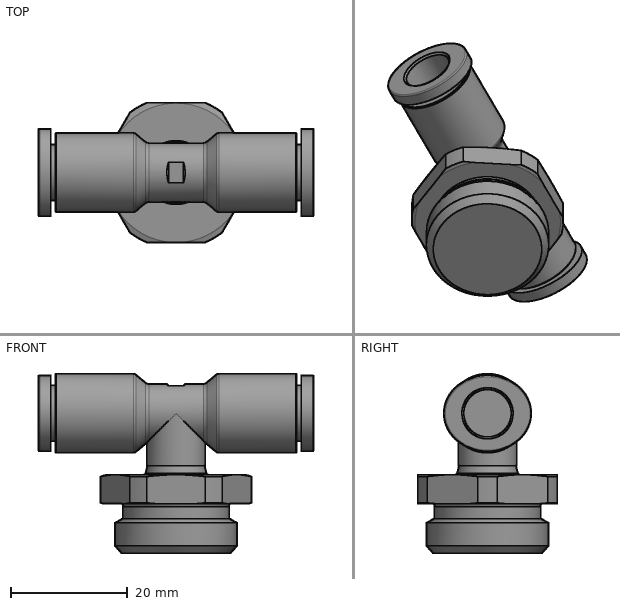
import cadquery as cq
import math


half_length = 23.6
sleeve_radius = 6.8
sleeve_end_x = 20.7
sleeve_end_chamfer = 0.2
core_radius = 5.05
cone_start_x = 5.0
cone_end_x = 7.1
cone_inner_fillet = 1.0
cone_outer_fillet = 0.7

collar_half_width = 7.5
collar_half_height = 6.5
collar_thickness = 2.15
collar_edge_fillet = 0.25
collar_neck_radius = 4.8
bore_radius = 4.05
bore_chamfer = 0.35
bore_bottom_x = cone_end_x

mark_floor_length = 2.55
mark_width = 3.45
mark_floor_z = math.sqrt(core_radius**2 - (mark_width / 2) ** 2)

across_flats = 24.0
nut_corner_radius = 13.0
nut_top_z = -10.53
nut_height = 4.95
nut_bottom_z = nut_top_z - nut_height
top_face_radius = 11.95
top_bevel_drop = 0.35
bottom_face_radius = 12.45
bottom_bevel_drop = 0.15

skirt_top_z = -8.95
skirt_top_radius = 4.9
skirt_bottom_radius = 5.25
skirt_foot_height = 0.25
skirt_foot_radius = 5.48

shoulder_height = 0.5
shoulder_top_radius = 9.25
shoulder_bottom_radius = 9.0

overall_height = 30.8
bottom_z = sleeve_radius - overall_height
thread_radius = 10.5
relief_radius = 9.15
relief_end_z = -18.05
thread_start_z = -18.8
tip_radius = 9.3
tip_height = 1.3


def revolve_about_z(points):
    """Solid of revolution from (radius, z) points."""
    return cq.Workplane("XZ").polyline(points).close().revolve(360, (0, 0), (0, 1))


def revolve_about_x(points):
    """Solid of revolution from (x, radius) points."""
    return cq.Workplane("XZ").polyline(points).close().revolve(360, (0, 0), (1, 0))


def ring_at(x):
    """Selector for the circular edge around the X axis at the given x."""
    margin = 0.05
    reach = sleeve_radius
    return cq.selectors.BoxSelector((x - margin, -reach, -reach), (x + margin, reach, reach))


def make_barrel():
    """Slim core between two sleeves, joined by cones with rounded ends."""
    right_outline = [
        (cone_start_x, core_radius),
        (cone_end_x, sleeve_radius),
        (sleeve_end_x, sleeve_radius),
        (sleeve_end_x, 0),
    ]
    left_outline = [(-x, radius) for x, radius in reversed(right_outline)]
    barrel = revolve_about_x(left_outline + right_outline)
    barrel = barrel.faces("<X or >X").edges().chamfer(sleeve_end_chamfer)
    for side in (-1, 1):
        barrel = barrel.edges(ring_at(side * cone_start_x)).fillet(cone_inner_fillet)
        barrel = barrel.edges(ring_at(side * cone_end_x)).fillet(cone_outer_fillet)
    return barrel


def make_collar():
    """Oval release collar at +X with the round neck that carries it."""
    inner_x = half_length - collar_thickness
    neck = cq.Workplane("YZ", origin=(sleeve_end_x, 0, 0)).circle(collar_neck_radius)
    neck = neck.extrude(inner_x - sleeve_end_x)
    collar = (
        cq.Workplane("YZ", origin=(inner_x, 0, 0))
        .ellipse(collar_half_width, collar_half_height)
        .extrude(collar_thickness)
        .faces(">X")
        .edges()
        .fillet(collar_edge_fillet)
    )
    return neck.union(collar)


def make_bore():
    """Cutter for the blind tube bore at +X, with a chamfered mouth."""
    return revolve_about_x([
        (bore_bottom_x, 0),
        (bore_bottom_x, bore_radius),
        (half_length - bore_chamfer, bore_radius),
        (half_length, bore_radius + bore_chamfer),
        (half_length, 0),
    ])


def make_mark():
    """Cutter for the shallow flat, with ends sloping outward at 45 degrees."""
    half_floor = mark_floor_length / 2
    clearance = 0.45
    cutter_height = core_radius - mark_floor_z + clearance
    half_top = half_floor + cutter_height
    return (
        cq.Workplane("XZ")
        .polyline([
            (-half_floor, mark_floor_z),
            (half_floor, mark_floor_z),
            (half_top, mark_floor_z + cutter_height),
            (-half_top, mark_floor_z + cutter_height),
        ])
        .close()
        .extrude(core_radius, both=True)
    )


def make_stem():
    """Vertical branch that joins the run to the nut, with its flared skirt."""
    stem = cq.Workplane("XY").circle(core_radius).extrude(skirt_top_z)
    skirt = revolve_about_z([
        (0, skirt_top_z),
        (skirt_top_radius, skirt_top_z),
        (skirt_bottom_radius, nut_top_z + skirt_foot_height),
        (skirt_foot_radius, nut_top_z),
        (0, nut_top_z),
    ])
    return stem.union(skirt)


def make_nut():
    """Hexagon with turned corners and bevelled faces, corners along X."""
    across_corners = across_flats / math.cos(math.pi / 6)
    hexagon = cq.Workplane("XY", origin=(0, 0, nut_bottom_z)).polygon(6, across_corners)
    hexagon = hexagon.extrude(nut_height)
    turned_blank = revolve_about_z([
        (0, nut_top_z),
        (top_face_radius, nut_top_z),
        (nut_corner_radius, nut_top_z - top_bevel_drop),
        (nut_corner_radius, nut_bottom_z + bottom_bevel_drop),
        (bottom_face_radius, nut_bottom_z),
        (0, nut_bottom_z),
    ])
    return hexagon.intersect(turned_blank)


def make_threaded_end():
    """Tapered shoulder, relief groove and plain thread cylinder with a tapered tip."""
    return revolve_about_z([
        (0, nut_bottom_z),
        (shoulder_top_radius, nut_bottom_z),
        (shoulder_bottom_radius, nut_bottom_z - shoulder_height),
        (relief_radius, nut_bottom_z - shoulder_height),
        (relief_radius, relief_end_z),
        (thread_radius, thread_start_z),
        (thread_radius, bottom_z + tip_height),
        (tip_radius, bottom_z),
        (0, bottom_z),
    ])


collar = make_collar()
bore = make_bore()
run = make_barrel().union(collar).union(collar.mirror("YZ"))
run = run.cut(bore).cut(bore.mirror("YZ")).cut(make_mark())
result = run.union(make_stem()).union(make_nut()).union(make_threaded_end())